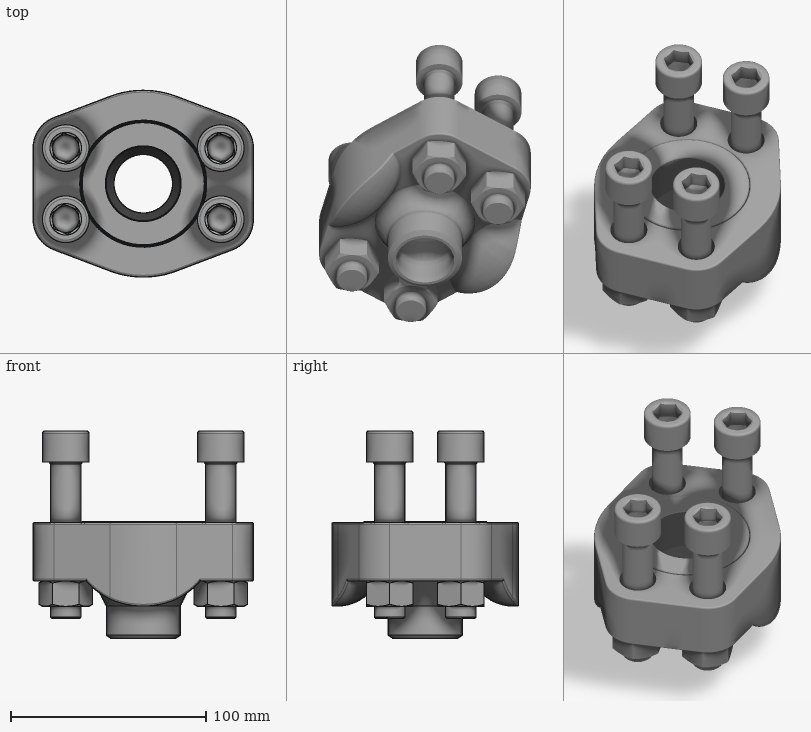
import cadquery as cq
import math


bolt_spacing_x = 79.4
bolt_spacing_y = 36.5
bolt_points = [
    (side_x * bolt_spacing_x / 2, side_y * bolt_spacing_y / 2)
    for side_x in (-1, 1)
    for side_y in (-1, 1)
]

flange_length = 113.0
flange_width = 95.8
ear_thickness = 30.0
edge_fillet = 0.9
bolt_hole_diameter = 19.0
half_length = flange_length / 2
crown_radius = flange_width / 2
ear_x = bolt_spacing_x / 2
ear_y = bolt_spacing_y / 2
ear_radius = half_length - ear_x

rib_height = 12.9
rib_radius = 41.8
rib_crest_y = 45.2
waist_fillet = 23.2
ear_bottom = -ear_thickness
rib_bottom = ear_bottom - rib_height

counterbore_diameter = 64.3
counterbore_depth = 15.0
counterbore_chamfer = 0.5
flange_bore_diameter = 51.5

collar_rise = 0.5
collar_diameter = 63.5
collar_chamfer = 0.5
shoulder_diameter = 50.6
shoulder_end = ear_bottom
neck_diameter = 38.0
neck_start = -42.7
neck_end = -59.4
weld_bevel_height = 1.7
weld_bevel_width = 2.5
upper_bore_diameter = neck_diameter
upper_bore_end = -22.3
lower_bore_diameter = 30.0

shank_diameter = 15.7
head_diameter = 24.0
head_height = 16.0
head_top = 47.0
head_fillet = 1.4
bolt_length = 80.0
root_diameter = 17.0
root_height = 0.9
tip_diameter = 14.4
socket_width = 13.6
socket_depth = 8.6
socket_angle = 38
socket_mouth_diameter = 16.2

nut_width = 24.0
nut_height = 13.0

hex_corner_ratio = 1 / math.cos(math.radians(30))
slope_30 = math.tan(math.radians(30))
diagonal = math.sqrt(0.5)


def turned(profile):
    """Solid of revolution about Z from an open X-Z profile, which is closed here."""
    return profile.close().revolve(360, (0, 0, 0), (0, 1, 0))


def downward_cone(top_radius, bottom_radius, height, top_z):
    """Cone on the Z axis that runs down from top_z."""
    return cq.Workplane(
        cq.Solid.makeCone(top_radius, bottom_radius, height, pnt=(0, 0, top_z), dir=(0, 0, -1))
    )


def flange_outline():
    """Two crown arcs about the origin and four ear arcs about the bolts, joined by tangent lines."""
    ear_distance = math.hypot(ear_x, ear_y)
    normal = math.atan2(ear_y, ear_x) + math.acos((crown_radius - ear_radius) / ear_distance)
    crown_end_x = crown_radius * math.cos(normal)
    crown_end_y = crown_radius * math.sin(normal)
    ear_start_x = ear_x + ear_radius * math.cos(normal)
    ear_start_y = ear_y + ear_radius * math.sin(normal)
    ear_middle_x = ear_x + ear_radius * math.cos(normal / 2)
    ear_middle_y = ear_y + ear_radius * math.sin(normal / 2)
    return (
        cq.Workplane("XY")
        .moveTo(-crown_end_x, crown_end_y)
        .threePointArc((0, crown_radius), (crown_end_x, crown_end_y))
        .lineTo(ear_start_x, ear_start_y)
        .threePointArc((ear_middle_x, ear_middle_y), (half_length, ear_y))
        .lineTo(half_length, -ear_y)
        .threePointArc((ear_middle_x, -ear_middle_y), (ear_start_x, -ear_start_y))
        .lineTo(crown_end_x, -crown_end_y)
        .threePointArc((0, -crown_radius), (-crown_end_x, -crown_end_y))
        .lineTo(-ear_start_x, -ear_start_y)
        .threePointArc((-ear_middle_x, -ear_middle_y), (-half_length, -ear_y))
        .lineTo(-half_length, ear_y)
        .threePointArc((-ear_middle_x, ear_middle_y), (-ear_start_x, ear_start_y))
        .close()
    )


def make_ribs():
    """Part of the waisted barrel that lies inside the flange outline."""
    axis_z = rib_bottom + rib_radius
    waist_y = rib_crest_y - waist_fillet
    waist_z = rib_bottom + waist_fillet
    middle_y = rib_crest_y - waist_fillet * diagonal
    middle_z = waist_z - waist_fillet * diagonal
    barrel = (
        cq.Workplane("YZ")
        .moveTo(-crown_radius, axis_z)
        .lineTo(-crown_radius, rib_bottom)
        .lineTo(-rib_crest_y, rib_bottom)
        .threePointArc((-middle_y, middle_z), (-waist_y, waist_z))
        .lineTo(waist_y, waist_z)
        .threePointArc((middle_y, middle_z), (rib_crest_y, rib_bottom))
        .lineTo(crown_radius, rib_bottom)
        .lineTo(crown_radius, axis_z)
        .close()
        .revolve(360, (0, axis_z, 0), (1, axis_z, 0))
    )
    return flange_outline().extrude(rib_bottom).intersect(barrel)


def lower_wall_edges(plate):
    """Edges along the bottom of the upright outer walls."""
    return [
        edge
        for face in plate.faces().vals()
        if math.isclose(face.normalAt().z, 0, abs_tol=0.01)
        for edge in face.Edges()
        if edge.BoundingBox().zmax < ear_bottom / 2
    ]


def make_flange():
    plate = flange_outline().extrude(ear_bottom).union(make_ribs())
    plate = plate.newObject(lower_wall_edges(plate)).fillet(edge_fillet)
    plate = plate.faces(">Z").edges().fillet(edge_fillet)

    counterbore_radius = counterbore_diameter / 2
    bore = cq.Workplane("XY").circle(flange_bore_diameter / 2).extrude(rib_bottom)
    counterbore = cq.Workplane("XY").circle(counterbore_radius).extrude(-counterbore_depth)
    mouth = downward_cone(
        counterbore_radius + counterbore_chamfer, counterbore_radius, counterbore_chamfer, 0
    )
    bolt_holes = (
        cq.Workplane("XY").pushPoints(bolt_points).circle(bolt_hole_diameter / 2).extrude(rib_bottom)
    )
    return plate.cut(bore).cut(counterbore).cut(mouth).cut(bolt_holes)


def make_weld_neck():
    collar_radius = collar_diameter / 2
    shoulder_radius = shoulder_diameter / 2
    neck_radius = neck_diameter / 2
    upper_bore_radius = upper_bore_diameter / 2
    lower_bore_radius = lower_bore_diameter / 2
    return turned(
        cq.Workplane("XZ")
        .moveTo(upper_bore_radius + collar_chamfer, collar_rise)
        .lineTo(collar_radius - collar_chamfer, collar_rise)
        .lineTo(collar_radius, collar_rise - collar_chamfer)
        .lineTo(collar_radius, -counterbore_depth)
        .lineTo(shoulder_radius, -counterbore_depth)
        .lineTo(shoulder_radius, shoulder_end)
        .lineTo(neck_radius, neck_start)
        .lineTo(neck_radius, neck_end + weld_bevel_height)
        .lineTo(neck_radius - weld_bevel_width, neck_end)
        .lineTo(lower_bore_radius, neck_end)
        .lineTo(lower_bore_radius, neck_start)
        .lineTo(upper_bore_radius, upper_bore_end)
        .lineTo(upper_bore_radius, collar_rise - collar_chamfer)
    )


def make_socket():
    """Hexagon recess with a conical bottom and a countersunk mouth."""
    mouth_radius = socket_mouth_diameter / 2
    bottom_radius = socket_width / 2
    hexagon = (
        cq.Workplane("XY", origin=(0, 0, head_top))
        .transformed(rotate=(0, 0, socket_angle))
        .polygon(6, socket_width * hex_corner_ratio)
        .extrude(-socket_depth)
    )
    bottom = downward_cone(bottom_radius, 0, bottom_radius * slope_30, head_top - socket_depth)
    mouth = downward_cone(mouth_radius, 0, mouth_radius * slope_30, head_top)
    return hexagon.union(bottom).union(mouth)


def make_bolt(x, y):
    head_radius = head_diameter / 2
    head_bottom = head_top - head_height
    shank_radius = shank_diameter / 2
    tip_radius = tip_diameter / 2
    tip_z = head_bottom - bolt_length
    fillet_x = head_radius - head_fillet
    fillet_z = head_top - head_fillet
    body = turned(
        cq.Workplane("XZ")
        .moveTo(0, head_top)
        .lineTo(fillet_x, head_top)
        .threePointArc(
            (fillet_x + head_fillet * diagonal, fillet_z + head_fillet * diagonal),
            (head_radius, fillet_z),
        )
        .lineTo(head_radius, head_bottom)
        .lineTo(root_diameter / 2, head_bottom)
        .lineTo(shank_radius, head_bottom - root_height)
        .lineTo(shank_radius, tip_z + shank_radius - tip_radius)
        .lineTo(tip_radius, tip_z)
        .lineTo(0, tip_z)
    )
    return body.cut(make_socket()).translate((x, y, 0))


def make_nut(x, y):
    """Nut under an ear, with corners along X that are chamfered at both ends."""
    flat_radius = nut_width / 2
    corner_radius = flat_radius * hex_corner_ratio
    chamfer_height = (corner_radius - flat_radius) * slope_30
    hexagon = cq.Workplane("XY").polygon(6, 2 * corner_radius).extrude(-nut_height)
    chamfered_disc = turned(
        cq.Workplane("XZ")
        .lineTo(flat_radius, 0)
        .lineTo(corner_radius, -chamfer_height)
        .lineTo(corner_radius, chamfer_height - nut_height)
        .lineTo(flat_radius, -nut_height)
        .lineTo(0, -nut_height)
    )
    bore = cq.Workplane("XY").circle(shank_diameter / 2).extrude(-nut_height)
    return hexagon.intersect(chamfered_disc).cut(bore).translate((x, y, ear_bottom))


flange = make_flange()
weld_neck = make_weld_neck()
bolts = [make_bolt(x, y) for x, y in bolt_points]
nuts = [make_nut(x, y) for x, y in bolt_points]

result = cq.Compound.makeCompound(
    [
        flange.val(),
        weld_neck.val(),
        *[bolt.val() for bolt in bolts],
        *[nut.val() for nut in nuts],
    ]
)